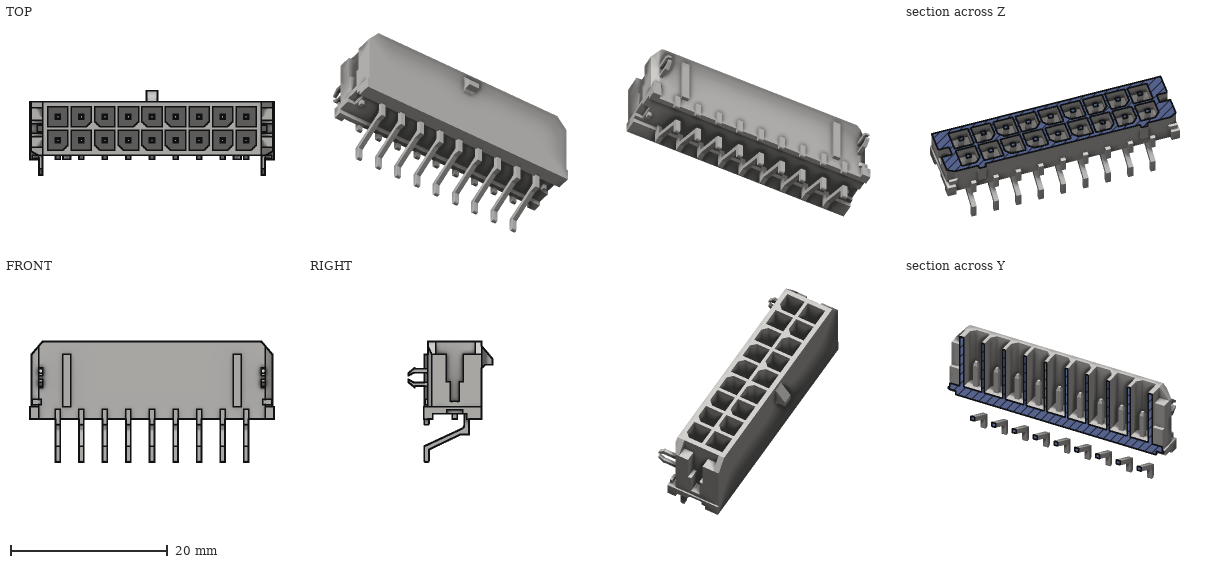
import cadquery as cq


PITCH = 3.0
COLUMNS = 9
ROW_Y = PITCH / 2

TOTAL_LENGTH = 31.15
TOTAL_HEIGHT = 15.4
FLANGE_HALF = TOTAL_LENGTH / 2
FLANGE_STEP = 0.2
BODY_HALF = FLANGE_HALF - FLANGE_STEP
CORE_HALF = 13.95
BODY_HALF_Y = 3.43
BACK_Y = BODY_HALF_Y
FRONT_Y = -BODY_HALF_Y
TOP_Z = 9.9
SHOULDER_Z = 8.23
FLANGE_TOP_Z = 1.58
FLANGE_FRONT_Y = -3.98
BACK_GUSSET_WIDTH = 0.8
FRONT_GUSSET_WIDTH = 1.03

BEVEL_X = 0.94
BEVEL_Y = 0.5

WIDE_SLOT_WIDTH = 2.15
WIDE_SLOT_FLOOR_Z = 4.77
NARROW_SLOT_WIDTH = 1.2
NARROW_SLOT_FLOOR_Z = 2.24
SEAT_HALF = 14.66
SEAT_WIDTH = 0.8
SEAT_DEPTH = 0.1

CHANNEL_Z = 0.65
CHANNEL_BACK_Y = 1.53
CHANNEL_FRONT_Y = -2.78
NOTCH_TOP_Z = 1.2
NOTCH_WIDTH = 2.0
NOTCH_DEPTH = 1.05

CAVITY_SIZE = 2.56
CAVITY_FLOOR_Z = 2.3
CAVITY_CUT = 0.66
BACK_ROW_KEYS = "NRLRLLRRN"
FRONT_ROW_KEYS = "RNLLLLRRR"

RIB_X = 10.86
RIB_WIDTH = 0.98
STANDOFF_Y = -3.92
BLOCK_INNER_X = 14.12
BLOCK_OUTER_X = 15.27
BLOCK_Z = (1.85, 2.5)
BLOCK_FRONT_Y = -3.78
BLOCK_ROUND = 0.34

LATCH_WIDTH = 1.44
LATCH_REACH = 1.41
LATCH_TOP_Z = 9.3
LATCH_NOSE_Z = (6.9, 7.65)
LATCH_ROOT_Z = 6.49
LATCH_UNDERCUT = 0.46

CLIP_THICKNESS = 0.48
CLIP_TIP_REACH = 2.5
CLIP_BARB_REACH = 1.67
CLIP_BEND_REACH = 1.78
UPPER_PRONG_Z = (5.89, 6.44)
UPPER_BARB_Z = 6.55
UPPER_TIP_Z = (5.52, 5.87)
LOWER_PRONG_Z = (4.19, 4.67)
LOWER_BARB_Z = 4.02
LOWER_TIP_Z = (4.70, 5.06)
CLIP_TAIL_WIDTH = 0.66

PIN = 0.64
PIN_TOP_Z = 6.0
PIN_TIP_TAPER = 0.16
PIN_TIP_LENGTH = 0.5
TAIL_FRONT_Y = STANDOFF_Y
TAIL_BACK_Y = TAIL_FRONT_Y + PIN
TAIL_END_Z = TOP_Z - TOTAL_HEIGHT
TAIL_ROUND = 0.25
STUB_TOP_Z = 1.23
STUB_END_Z = -0.75
ELBOW_OUTER_Z = -1.98
ELBOW_TOE = 1.1
ELBOW_INNER_Z = -1.1
ELBOW_ROUND = 0.43
KNEE_UPPER_Z = -3.47
KNEE_LOWER_Z = -3.9


def box(x_range, y_range, z_range):
    size = [high - low for low, high in (x_range, y_range, z_range)]
    corner = (x_range[0], y_range[0], z_range[0])
    return cq.Workplane("XY").box(*size, centered=False).translate(corner)


def both_ends(shape):
    return shape.union(shape.mirror("YZ"))


def yz_prism(points, x_centre, width):
    """Extrude a (y, z) outline along X, centred on x_centre."""
    profile = cq.Workplane("YZ", origin=(x_centre - width / 2, 0, 0))
    return profile.polyline(points).close().extrude(width)


def column_x(column):
    return (column - (COLUMNS - 1) / 2) * PITCH


def housing_shell():
    outline = [
        (-BODY_HALF, 0),
        (-BODY_HALF, SHOULDER_Z),
        (-CORE_HALF, TOP_Z),
        (CORE_HALF, TOP_Z),
        (BODY_HALF, SHOULDER_Z),
        (BODY_HALF, 0),
    ]
    plane = cq.Workplane("XZ", origin=(0, BACK_Y, 0))
    shell = plane.polyline(outline).close().extrude(2 * BODY_HALF_Y)

    bevel_points = [
        (-BODY_HALF, FRONT_Y),
        (-BODY_HALF, FRONT_Y + BEVEL_Y),
        (-BODY_HALF + BEVEL_X, FRONT_Y),
    ]
    bevel = cq.Workplane("XY").polyline(bevel_points).close().extrude(TOP_Z)
    shell = shell.cut(both_ends(bevel))

    flange = box(
        (-FLANGE_HALF, -BODY_HALF + BEVEL_X),
        (FLANGE_FRONT_Y, BACK_Y),
        (0, FLANGE_TOP_Z),
    )
    return shell.union(both_ends(flange))


def end_slots():
    """Opening between the gussets, the stepped slot below it and the clip seat."""
    end_x = (-FLANGE_HALF, -CORE_HALF)
    gusset_gap = (FRONT_Y + FRONT_GUSSET_WIDTH, BACK_Y - BACK_GUSSET_WIDTH)
    wide = (-WIDE_SLOT_WIDTH / 2, WIDE_SLOT_WIDTH / 2)
    narrow = (-NARROW_SLOT_WIDTH / 2, NARROW_SLOT_WIDTH / 2)
    slot = box(end_x, gusset_gap, (SHOULDER_Z, TOP_Z))
    slot = slot.union(box(end_x, wide, (WIDE_SLOT_FLOOR_Z, TOP_Z)))
    slot = slot.union(box(end_x, narrow, (NARROW_SLOT_FLOOR_Z, TOP_Z)))
    seat = box(
        (-SEAT_HALF, -CORE_HALF),
        (-SEAT_WIDTH / 2, SEAT_WIDTH / 2),
        (NARROW_SLOT_FLOOR_Z - SEAT_DEPTH, TOP_Z),
    )
    return both_ends(slot.union(seat))


def underside_channel():
    channel = box((-FLANGE_HALF, FLANGE_HALF), (CHANNEL_FRONT_Y, CHANNEL_BACK_Y), (0, CHANNEL_Z))
    notch = box(
        (-FLANGE_HALF, -FLANGE_HALF + NOTCH_DEPTH),
        (-NOTCH_WIDTH / 2, NOTCH_WIDTH / 2),
        (0, NOTCH_TOP_Z),
    )
    return channel.union(both_ends(notch))


def cavity(x, y, key):
    depth = TOP_Z - CAVITY_FLOOR_Z
    floor = cq.Workplane("XY", origin=(x, y, CAVITY_FLOOR_Z))
    pocket = floor.rect(CAVITY_SIZE, CAVITY_SIZE).extrude(depth)
    if key == "L":
        return pocket.edges("|Z and <X and <Y").chamfer(CAVITY_CUT)
    if key == "R":
        return pocket.edges("|Z and >X and <Y").chamfer(CAVITY_CUT)
    return pocket


def front_details():
    rib = box(
        (-RIB_X - RIB_WIDTH / 2, -RIB_X + RIB_WIDTH / 2),
        (STANDOFF_Y, FRONT_Y),
        (FLANGE_TOP_Z, SHOULDER_Z),
    )
    block = box((-BLOCK_OUTER_X, -BLOCK_INNER_X), (BLOCK_FRONT_Y, FRONT_Y), BLOCK_Z)
    block = block.edges("|Z and >X and <Y").fillet(BLOCK_ROUND)
    return both_ends(rib.union(block))


def latch():
    nose_low_z, nose_high_z = LATCH_NOSE_Z
    nose_y = BACK_Y + LATCH_REACH
    points = [
        (BACK_Y, LATCH_TOP_Z),
        (nose_y, nose_high_z),
        (nose_y, nose_low_z),
        (BACK_Y + LATCH_UNDERCUT, nose_low_z),
        (BACK_Y, LATCH_ROOT_Z),
    ]
    return yz_prism(points, 0, LATCH_WIDTH)


def clip_prong(outer_z, inner_z, barb_z, tip_outer_z, tip_inner_z):
    """Prong with its barb on the outer edge and its tip bent toward the other prong."""
    barb_y = FRONT_Y - CLIP_BARB_REACH
    bend_y = FRONT_Y - CLIP_BEND_REACH
    tip_y = FRONT_Y - CLIP_TIP_REACH
    points = [
        (FRONT_Y, outer_z),
        (barb_y, outer_z),
        (barb_y, barb_z),
        (tip_y, tip_outer_z),
        (tip_y, tip_inner_z),
        (bend_y, inner_z),
        (FRONT_Y, inner_z),
    ]
    return yz_prism(points, -CORE_HALF - CLIP_THICKNESS / 2, CLIP_THICKNESS)


def clips():
    """Forward-pointing prongs and a short tail under the housing, at both ends."""
    upper_inner_z, upper_outer_z = UPPER_PRONG_Z
    upper_tip_inner_z, upper_tip_outer_z = UPPER_TIP_Z
    upper = clip_prong(upper_outer_z, upper_inner_z, UPPER_BARB_Z, upper_tip_outer_z, upper_tip_inner_z)
    lower_outer_z, lower_inner_z = LOWER_PRONG_Z
    lower_tip_outer_z, lower_tip_inner_z = LOWER_TIP_Z
    lower = clip_prong(lower_outer_z, lower_inner_z, LOWER_BARB_Z, lower_tip_outer_z, lower_tip_inner_z)
    tail = box(
        (-CORE_HALF - CLIP_THICKNESS, -CORE_HALF),
        (-CLIP_TAIL_WIDTH / 2, CLIP_TAIL_WIDTH / 2),
        (0, NOTCH_TOP_Z),
    )
    return both_ends(upper.union(lower).union(tail))


def mating_pin(x, y):
    shank_top_z = PIN_TOP_Z - PIN_TIP_LENGTH
    tip_width = PIN - 2 * PIN_TIP_TAPER
    base = cq.Workplane("XY", origin=(x, y, CAVITY_FLOOR_Z))
    shank = base.rect(PIN, PIN).extrude(shank_top_z - CAVITY_FLOOR_Z)
    tip = (
        cq.Workplane("XY", origin=(x, y, shank_top_z))
        .rect(PIN, PIN)
        .workplane(offset=PIN_TIP_LENGTH)
        .rect(tip_width, tip_width)
        .loft()
    )
    return shank.union(tip)


def round_tail_end(tail):
    return tail.edges("|X").edges("<Z").fillet(TAIL_ROUND)


def stub_tail(x):
    """Short front-row tail standing off the front face."""
    stub = box(
        (x - PIN / 2, x + PIN / 2),
        (TAIL_FRONT_Y, TAIL_BACK_Y),
        (STUB_END_Z, STUB_TOP_Z),
    )
    return round_tail_end(stub)


def long_tail(x):
    """Back-row tail: drops below the housing, slopes forward, then drops again."""
    back_y = ROW_Y + PIN / 2
    front_y = ROW_Y - PIN / 2
    points = [
        (front_y, CHANNEL_Z),
        (back_y, CHANNEL_Z),
        (back_y, ELBOW_OUTER_Z),
        (back_y - ELBOW_TOE, ELBOW_OUTER_Z),
        (TAIL_BACK_Y, KNEE_LOWER_Z),
        (TAIL_BACK_Y, TAIL_END_Z),
        (TAIL_FRONT_Y, TAIL_END_Z),
        (TAIL_FRONT_Y, KNEE_UPPER_Z),
        (front_y, ELBOW_INNER_Z),
    ]
    tail = round_tail_end(yz_prism(points, x, PIN))
    inner_elbow = cq.selectors.NearestToPointSelector((x, front_y, ELBOW_INNER_Z))
    return tail.edges(inner_elbow).fillet(ELBOW_ROUND)


result = housing_shell().cut(end_slots()).cut(underside_channel())
for column in range(COLUMNS):
    x = column_x(column)
    for y, keys in ((ROW_Y, BACK_ROW_KEYS), (-ROW_Y, FRONT_ROW_KEYS)):
        result = result.cut(cavity(x, y, keys[column]))
        result = result.union(mating_pin(x, y))
    result = result.union(stub_tail(x)).union(long_tail(x))
result = result.union(front_details()).union(latch()).union(clips())